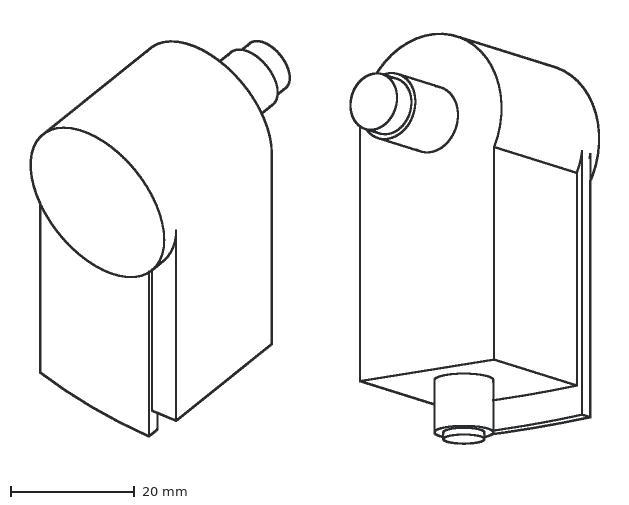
import cadquery as cq
import math

drum_diameter = 28.15
drum_radius = drum_diameter / 2
drum_length = 27.1
dome_height = 0.9

rear_shaft_radius = 5.4
rear_shaft_length = 11.8
rear_tip_radius = 4.65
rear_tip_length = 4.0

body_left = -12.6
body_right = drum_radius
body_height = 41.5
body_front_inset = 0.85

plate_left = -13.8
plate_right = 9.55
plate_height = 46.5
plate_thickness = 2.2
plate_crown = 26.1
plate_radius = 90.8

total_height = 65.35
stem_setback = 9.2
stem_radius = 4.8
stem_tip_radius = 3.3
stem_tip_length = 1.1
stem_bottom = drum_radius - total_height


def front_y(x, inset=0.0):
    """Y of the plate's bowed front at x, or of a concentric arc inset behind it."""
    radius = plate_radius - inset
    return plate_radius - plate_crown - math.sqrt(radius**2 - x**2)


def bowed_arc(sketch, start_x, end_x, inset=0.0):
    """Add the bowed arc from start_x to end_x to a plan outline."""
    middle_x = (start_x + end_x) / 2
    middle = (middle_x, front_y(middle_x, inset))
    return sketch.threePointArc(middle, (end_x, front_y(end_x, inset)))


def make_drum():
    """Revolve the drum with its domed front and stepped rear shaft."""
    dome_radius = (drum_radius**2 + dome_height**2) / (2 * dome_height)
    dome_center_y = dome_radius - drum_length - dome_height
    middle_x = drum_radius / 2
    middle_y = dome_center_y - math.sqrt(dome_radius**2 - middle_x**2)
    rear_end = rear_shaft_length + rear_tip_length
    return (
        cq.Workplane("XY")
        .moveTo(0, rear_end)
        .lineTo(rear_tip_radius, rear_end)
        .lineTo(rear_tip_radius, rear_shaft_length)
        .lineTo(rear_shaft_radius, rear_shaft_length)
        .lineTo(rear_shaft_radius, 0)
        .lineTo(drum_radius, 0)
        .lineTo(drum_radius, -drum_length)
        .threePointArc((middle_x, middle_y), (0, -drum_length - dome_height))
        .close()
        .revolve(360, (0, 0), (0, 1))
    )


def make_body():
    """Extrude the body, whose bowed front lies just behind the front of the plate."""
    outline = (
        cq.Workplane("XY")
        .moveTo(body_right, 0)
        .lineTo(body_left, 0)
        .lineTo(body_left, front_y(body_left, body_front_inset))
    )
    outline = bowed_arc(outline, body_left, body_right, body_front_inset)
    return outline.close().extrude(-body_height)


def make_plate():
    """Extrude the bowed plate down from where its left edge meets the drum."""
    plate_top = -math.sqrt(drum_radius**2 - plate_left**2)
    outline = cq.Workplane("XY", origin=(0, 0, plate_top)).moveTo(plate_left, front_y(plate_left))
    outline = bowed_arc(outline, plate_left, plate_right)
    outline = outline.lineTo(plate_right, front_y(plate_right, plate_thickness))
    outline = bowed_arc(outline, plate_right, plate_left, plate_thickness)
    return outline.close().extrude(-plate_height - plate_top)


def make_stem():
    """Build the stepped stem upward from its lowest face to the body."""
    shoulder = stem_bottom + stem_tip_length
    base = cq.Workplane("XY", origin=(0, -stem_setback, stem_bottom))
    tip = base.circle(stem_tip_radius).extrude(stem_tip_length)
    stem = base.workplane(offset=stem_tip_length).circle(stem_radius).extrude(-body_height - shoulder)
    return tip.union(stem)


result = make_drum().union(make_body()).union(make_plate()).union(make_stem())